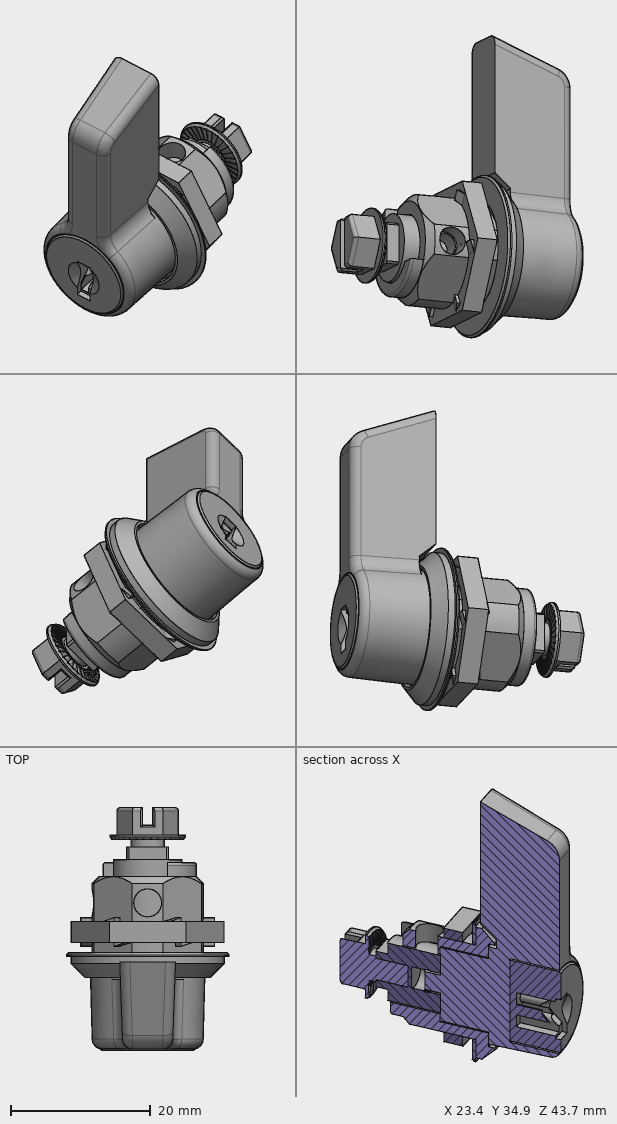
import cadquery as cq
import math


body_diameter = 16.0
body_across_flats = 14.0
body_end = 10.95
body_chamfer = 1.05
front_bore = 12.65
rear_bore = 10.1
bore_step = 5.0
flange_diameter = 22.0
flange_rim_front = -1.55
flange_front = -3.55
flange_cone_height = flange_rim_front - flange_front
barrel_recess_diameter = 17.2
barrel_recess_depth = 0.95
side_hole_diameter = 4.0
side_hole_place = 7.15
stop_diameter = 14.0
stop_end = 12.92
stop_edge_fillet = 0.4
stop_face_offset = 2.84

gasket_diameter = 23.37
gasket_thickness = 0.53
gasket_chamfer = 0.3

nut_across_flats = 19.0
nut_front = 1.45
nut_back = 4.5
tooth_count = 6
tooth_height = 0.53
tooth_length = 1.77
tooth_outer_radius = 9.6

handle_front = -13.8
barrel_back = flange_front + barrel_recess_depth
barrel_back_diameter = 16.45
barrel_front_diameter = 15.86
root_back = -3.8
shank_diameter = 12.5
stub_diameter = 3.65
stub_end = 7.5
lever_top = 31.995
lever_back = -1.3
lever_slope_angle = 20.0
lever_back_width = 8.0
lever_front_width = 7.1
lever_corner_radius = 3.0
lever_heel_top = 11.6
lever_heel_bottom = 9.5
lever_root_radius = 3.3
lever_root_low = 6.0
lever_root_high = 8.0
front_edge_radius = 1.45

cap_diameter = 13.7
cap_face_diameter = 13.2
cap_pocket_diameter = 14.0
cap_front = -14.01
cap_back = -6.0
cap_chamfer = (cap_diameter - cap_face_diameter) / 2
key_center_z = -0.65
key_cone_diameter = 5.5
key_cone_depth = 1.375
key_pocket_width = 2.26
key_pocket_top = 2.06
key_pocket_bottom = -4.53
key_pocket_depth = 0.85
key_slot_width = 2.0
key_slot_top = 1.51
key_slot_bottom = -4.11
key_slot_depth = 7.0
ward_diameter = 1.8
right_ward_z = -0.1
left_ward_z = -1.3
corner_ward_z = -2.8
corner_ward_edge = 0.22
inner_cone_radius = 2.55
inner_cone_depth = 3.5

rotor_diameter = 9.85
rotor_end = 13.34
rotor_bore = 4.0
rotor_bore_end = 9.5
rotor_side_hole = 3.65
square_size = 6.0
square_end = 15.18
square_chamfer = 0.3

screw_thread_diameter = 4.0
screw_thread_length = 5.0
screw_collar_diameter = 4.8
washer_front = 16.2
washer_back = 16.87
washer_rim = 0.27
washer_diameter = 10.8
washer_front_diameter = 10.25
serration_outer_diameter = 10.1
serration_inner_diameter = 5.7
serration_count = 30
serration_depth = 0.15
serration_width = 0.5
head_end = 20.84
head_across_flats = 7.65
head_edge_fillet = 0.55
slot_width = 1.44
slot_depth = 2.55
slot_chamfer = 0.3

beyond = 1.0


def turned(profile):
    """Solid of revolution about Y from (radius, y) points."""
    return cq.Workplane("XY").polyline(profile).close().revolve(360, (0, 0, 0), (0, 1, 0))


def rod(diameter, y_from, y_to):
    """Cylinder on the lock axis from the lower to the higher Y."""
    return cq.Workplane("XZ", origin=(0, y_to, 0)).circle(diameter / 2).extrude(y_to - y_from)


def hexagon(across_flats, y_from, y_to):
    """Hexagonal prism on the lock axis with corners at +X and -X."""
    corners = across_flats / math.cos(math.radians(30))
    return cq.Workplane("XZ", origin=(0, y_to, 0)).polygon(6, corners).extrude(y_to - y_from)


def block(x_range, y_range, z_range):
    """Box between two limits on each axis."""
    sizes = [high - low for low, high in (x_range, y_range, z_range)]
    corner = (x_range[0], y_range[0], z_range[0])
    return cq.Workplane("XY").box(*sizes, centered=False).translate(corner)


def make_stop():
    """Ring segment behind the housing, open in the corner where X is low and Z is high."""
    reach = stop_diameter
    depth = (body_end, stop_end)
    ring = rod(stop_diameter, *depth).edges(">Y").fillet(stop_edge_fillet).cut(rod(rear_bore, *depth))
    return ring.cut(block((-reach, stop_face_offset), depth, (-stop_face_offset, reach)))


def make_housing():
    """Flanged body with four diagonal flats, a stepped bore and two side holes."""
    body = turned([
        (0, -gasket_thickness),
        (body_diameter / 2, -gasket_thickness),
        (body_diameter / 2, body_end - body_chamfer),
        (body_diameter / 2 - body_chamfer, body_end),
        (0, body_end),
    ])
    flats = (
        cq.Workplane("XZ", origin=(0, body_end, 0))
        .rect(body_across_flats, body_across_flats)
        .extrude(body_end + gasket_thickness)
        .rotate((0, 0, 0), (0, 1, 0), 45)
    )
    flange = turned([
        (0, -gasket_thickness),
        (flange_diameter / 2, -gasket_thickness),
        (flange_diameter / 2, flange_rim_front),
        (flange_diameter / 2 - flange_cone_height, flange_front),
        (0, flange_front),
    ])
    housing = body.intersect(flats).union(flange).union(make_stop())
    housing = housing.cut(rod(barrel_recess_diameter, flange_front, barrel_back))
    housing = housing.cut(rod(front_bore, flange_front, bore_step))
    housing = housing.cut(rod(rear_bore, bore_step, body_end))
    top_hole = (
        cq.Workplane("XY", origin=(0, side_hole_place, 0))
        .circle(side_hole_diameter / 2)
        .extrude(body_diameter)
    )
    side_hole = top_hole.rotate((0, 0, 0), (0, 1, 0), -90)
    return housing.cut(top_hole).cut(side_hole)


def make_gasket():
    """Flat ring under the flange of the housing."""
    gasket = rod(gasket_diameter, -gasket_thickness, 0).edges(">Y").chamfer(gasket_chamfer)
    return gasket.cut(rod(body_diameter, -gasket_thickness, 0))


def make_nut():
    """Hexagon nut with a one-way ramp tooth at each corner of both faces; the bore trims the teeth."""
    nut = hexagon(nut_across_flats, nut_front, nut_back)
    back_tooth = (
        cq.Workplane("YZ")
        .polyline([(nut_back, 0), (nut_back + tooth_height, 0), (nut_back, tooth_length)])
        .close()
        .extrude(tooth_outer_radius)
    )
    middle = (nut_front + nut_back) / 2
    front_tooth = back_tooth.rotate((0, middle, 0), (1, middle, 0), 180)
    for index in range(tooth_count):
        turn = index * 360 / tooth_count
        for tooth in (back_tooth, front_tooth):
            nut = nut.union(tooth.rotate((0, 0, 0), (0, 1, 0), turn))
    return nut.cut(rod(body_diameter, nut_front - tooth_height, nut_back + tooth_height))


def make_lever():
    """Upright blade that narrows toward the front."""
    slope_drop = (lever_back - handle_front) * math.tan(math.radians(lever_slope_angle))
    side = (
        cq.Workplane("YZ")
        .polyline([
            (root_back, 0),
            (root_back, lever_heel_bottom),
            (lever_back, lever_heel_top),
            (lever_back, lever_top),
            (handle_front, lever_top - slope_drop),
            (handle_front, 0),
        ])
        .close()
        .extrude(lever_back_width / 2, both=True)
    )
    back = lever_back_width / 2
    front = lever_front_width / 2
    taper = (
        cq.Workplane("XY")
        .polyline([(-back, lever_back), (back, lever_back), (front, handle_front), (-front, handle_front)])
        .close()
        .extrude(lever_top)
    )
    front_top_edge = cq.selectors.NearestToPointSelector((0, handle_front, lever_top - slope_drop))
    return side.intersect(taper).edges(front_top_edge).fillet(lever_corner_radius)


def make_handle():
    """Tapered barrel with the lever blended in, and a shank with a stub that reaches into the rotor."""
    back_radius = barrel_back_diameter / 2
    front_radius = barrel_front_diameter / 2
    barrel = turned([
        (0, barrel_back),
        (back_radius, barrel_back),
        (front_radius, handle_front),
        (0, handle_front),
    ])
    handle = barrel.union(make_lever())

    reach = lever_back_width
    root_zone = cq.selectors.BoxSelector(
        (-reach, root_back - beyond, lever_root_low), (reach, handle_front + beyond, lever_root_high)
    )
    handle = handle.edges(root_zone).fillet(lever_root_radius)

    slope_zone = cq.selectors.BoxSelector(
        (-reach, lever_back - beyond, lever_top / 2), (reach, handle_front - beyond, lever_top)
    )
    front_outline = handle.faces("<Y").edges("not(|X)")
    top_edges = handle.edges(slope_zone).edges("not(|X)")
    handle = front_outline.add(top_edges).fillet(front_edge_radius)

    handle = handle.union(rod(shank_diameter, barrel_back, bore_step))
    handle = handle.union(rod(stub_diameter, bore_step, stub_end))
    return handle.cut(rod(cap_pocket_diameter, handle_front - beyond, cap_back))


def make_key_slot():
    """Key profile: a slot with two round wards and a rounded corner ward left standing."""
    half = key_slot_width / 2
    wall = key_pocket_width / 2
    ward_radius = ward_diameter / 2
    slot_range = (cap_front, cap_front + key_slot_depth)
    slot = block((-half, half), slot_range, (key_slot_bottom, key_slot_top))
    wards = (
        cq.Workplane("XZ", origin=(0, slot_range[1], 0))
        .pushPoints([
            (wall, right_ward_z),
            (-wall, left_ward_z),
            (corner_ward_edge + ward_radius, corner_ward_z),
        ])
        .circle(ward_radius)
        .extrude(key_slot_depth)
    )
    corner = block((corner_ward_edge, half), slot_range, (key_slot_bottom, corner_ward_z))
    return slot.cut(wards).cut(corner)


def make_cap():
    """Round cap with a conical key mouth, a shallow pocket and a funnel leading into the key slot."""
    cap = rod(cap_diameter, cap_front, cap_back).edges("<Y").chamfer(cap_chamfer)
    key_center = cq.Vector(0, cap_front, key_center_z)
    inward = cq.Vector(0, 1, 0)
    half = key_pocket_width / 2
    pocket_floor = cap_front + key_pocket_depth
    pocket_z = (key_pocket_bottom, key_pocket_top)

    mouth = cq.Solid.makeCone(key_cone_diameter / 2, 0, key_cone_depth, key_center, inward)
    pocket = block((-half, half), (cap_front, pocket_floor), pocket_z)
    floor_center = key_center + inward * key_pocket_depth
    inner_cone = cq.Solid.makeCone(inner_cone_radius, 0, inner_cone_depth, floor_center, inward)
    pocket_shaft = block((-half, half), (cap_front, pocket_floor + inner_cone_depth), pocket_z)
    funnel = cq.Workplane(inner_cone).intersect(pocket_shaft)
    return cap.cut(cq.Workplane(mouth)).cut(pocket).cut(funnel).cut(make_key_slot())


def make_rotor():
    """Shaft with a square end, a screw hole and a front bore that opens sideways toward -X."""
    square = (
        cq.Workplane("XZ", origin=(0, square_end, 0))
        .rect(square_size, square_size)
        .extrude(square_end - rotor_end)
        .edges("|Y")
        .chamfer(square_chamfer)
    )
    rotor = rod(rotor_diameter, bore_step, rotor_end).union(square)
    side_hole = (
        cq.Workplane("YZ", origin=(0, side_hole_place, 0))
        .circle(rotor_side_hole / 2)
        .extrude(-rotor_diameter)
    )
    rotor = rotor.cut(rod(rotor_bore, bore_step, rotor_bore_end)).cut(side_hole)
    return rotor.cut(rod(screw_thread_diameter, square_end - screw_thread_length, square_end))


def make_screw_head():
    """Hexagon head with a driver slot that flares at both ends."""
    slot_half = slot_width / 2
    slot_bottom = head_end - slot_depth
    head = hexagon(head_across_flats, washer_back, head_end)
    head = head.edges(">Y").fillet(head_edge_fillet)
    slot = block((-slot_half, slot_half), (slot_bottom, head_end), (-head_across_flats, head_across_flats))
    wide = slot_half + slot_chamfer
    low = slot_bottom - slot_chamfer
    face = head_across_flats / 2
    flare = (
        cq.Workplane("XY", origin=(0, 0, face - slot_chamfer))
        .center(0, (slot_bottom + head_end + beyond) / 2)
        .rect(slot_width, head_end + beyond - slot_bottom)
        .workplane(offset=slot_chamfer)
        .center(0, -slot_chamfer / 2)
        .rect(2 * wide, head_end + beyond - low)
        .loft()
    )
    return head.cut(slot).cut(flare).cut(flare.mirror("XY"))


def make_screw():
    """Head, serrated clamping flange, collar and thread in one piece."""
    flange = turned([
        (0, washer_front),
        (washer_front_diameter / 2, washer_front),
        (washer_diameter / 2, washer_back - washer_rim),
        (washer_diameter / 2, washer_back),
        (0, washer_back),
    ])
    groove = (
        cq.Workplane("YZ", origin=(serration_inner_diameter / 2, 0, 0))
        .polyline([(washer_front, 0), (washer_front + serration_depth, 0), (washer_front, serration_width)])
        .close()
        .extrude((serration_outer_diameter - serration_inner_diameter) / 2)
    )
    for index in range(serration_count):
        flange = flange.cut(groove.rotate((0, 0, 0), (0, 1, 0), index * 360 / serration_count))
    collar = rod(screw_collar_diameter, square_end, washer_front)
    thread = rod(screw_thread_diameter, square_end - screw_thread_length, square_end)
    return make_screw_head().union(flange).union(collar).union(thread)


housing = make_housing()
gasket = make_gasket()
nut = make_nut()
handle = make_handle()
cap = make_cap()
rotor = make_rotor()
screw = make_screw()

result = cq.Compound.makeCompound([
    housing.val(),
    gasket.val(),
    nut.val(),
    handle.val(),
    cap.val(),
    rotor.val(),
    screw.val(),
])